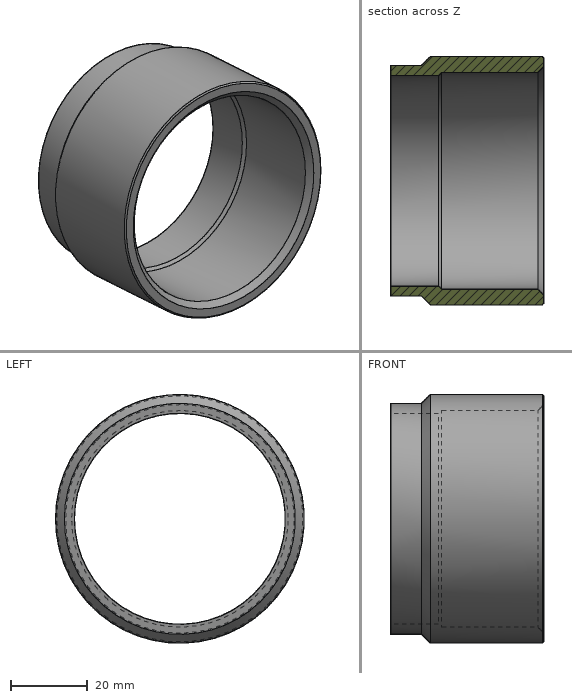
import cadquery as cq

length = 40.0
body_radius = 32.5

spigot_radius = 30.15
spigot_length = 8.0

bore_radius = 27.5
bore_length = 12.55
socket_radius = 28.3

rim_chamfer = 0.4
socket_chamfer = 1.55

body_start = spigot_length + (body_radius - spigot_radius)
socket_start = bore_length + (socket_radius - bore_radius)

outer_outline = [
    (0, spigot_radius),
    (spigot_length, spigot_radius),
    (body_start, body_radius),
    (length - rim_chamfer, body_radius),
    (length, body_radius - rim_chamfer),
]
inner_outline = [
    (length, socket_radius + socket_chamfer),
    (length - socket_chamfer, socket_radius),
    (socket_start, socket_radius),
    (bore_length, bore_radius),
    (0, bore_radius),
]

wall_section = cq.Workplane("XY").polyline(outer_outline + inner_outline).close()
result = wall_section.revolve(360, (0, 0, 0), (1, 0, 0))